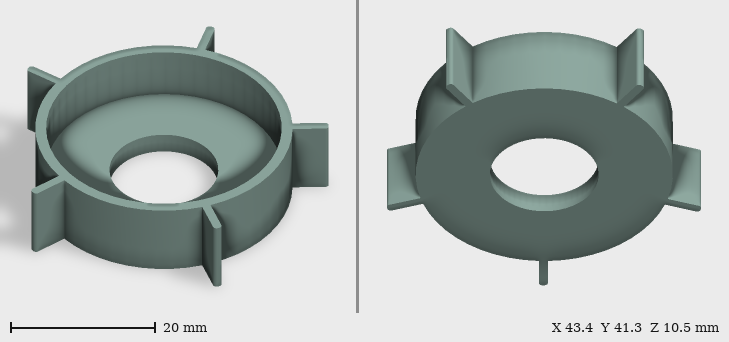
import cadquery as cq

height = 10.5
outer_diameter = 35.5
bore_diameter = 32.5
hole_diameter = 15.0
floor_thickness = 3.0

fin_count = 5
fin_tip_radius = 22.75
fin_thickness = 1.2
fin_corner_radius = 0.48
first_fin_angle = 90


def make_fin(angle):
    """Full-height radial fin with rounded tip corners, rooted inside the cup wall."""
    root_radius = (outer_diameter + bore_diameter) / 4
    length = fin_tip_radius - root_radius
    return (
        cq.Workplane("XY")
        .center(root_radius + length / 2, 0)
        .rect(length, fin_thickness)
        .extrude(height)
        .edges("|Z and >X")
        .fillet(fin_corner_radius)
        .rotate((0, 0, 0), (0, 0, 1), angle)
    )


result = (
    cq.Workplane("XY")
    .circle(outer_diameter / 2)
    .circle(hole_diameter / 2)
    .extrude(height)
)
bore = (
    cq.Workplane("XY")
    .workplane(offset=floor_thickness)
    .circle(bore_diameter / 2)
    .extrude(height - floor_thickness)
)
result = result.cut(bore)

for index in range(fin_count):
    result = result.union(make_fin(first_fin_angle + index * 360 / fin_count))